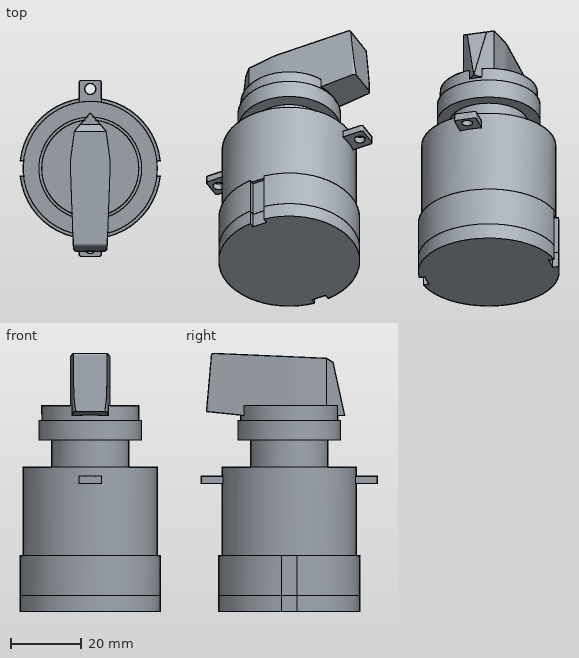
import cadquery as cq

base_top = 4.6
collar_top = 15.9
housing_top = 41.0
neck_top = 48.7
bezel_top = 54.25
disc_top = 58.4
knob_top = 73.3

base_radius = 20.0
housing_radius = 19.05
neck_radius = 11.0
bezel_radius = 14.6
disc_radius = 13.8

notch_width = 4.3
notch_floor_x = 18.25

tab_width = 6.4
tab_reach = 25.0
tab_bottom = 36.3
tab_thickness = 2.1
tab_corner_radius = 0.65
tab_hole_y = 22.6
tab_hole_diameter = 3.1

pointer_tip_y = 15.75
pointer_shoulder_y = 10.55
pointer_half_width = 4.51
grip_half_width = 5.65
bulge_back_y = 2.65
bulge_front_y = -1.55
bulge_side_half_width = 5.6
handle_front_y = -23.5
handle_front_half_width = 4.8
handle_corner_radius = 0.95

handle_bottom = 55.6
pointer_slope_top_y = 12.45
pointer_slope_top = 70.7
shoulder_top = 71.9
crest_back_y = -19.65
crest_back_top = 73.2
crest_front_y = -22.05
underside_back_y = -12.8
front_lip_bottom = 56.7
crest_radius = 0.7


def cylinder(radius, bottom, top):
    return cq.Workplane("XY").workplane(offset=bottom).circle(radius).extrude(top - bottom)


def notched_disc(bottom, top):
    """Disc with a flat-bottomed notch at each X side, reaching under the housing."""
    disc = cylinder(base_radius, bottom, top)
    notch_depth = base_radius - notch_floor_x
    notches = (
        cq.Workplane("XY")
        .workplane(offset=bottom)
        .pushPoints([(side * (notch_floor_x + notch_depth / 2), 0) for side in (-1, 1)])
        .rect(notch_depth, notch_width)
        .extrude(top - bottom)
    )
    return disc.cut(notches)


def make_tab(side):
    """Drilled tab on the +Y (side = 1) or -Y (side = -1) side, rooted inside the housing."""
    root_y = housing_radius / 2
    outer_face = ">Y" if side > 0 else "<Y"
    tab = (
        cq.Workplane("XY")
        .workplane(offset=tab_bottom)
        .center(0, side * (root_y + tab_reach) / 2)
        .rect(tab_width, tab_reach - root_y)
        .extrude(tab_thickness)
        .faces(outer_face)
        .edges("|Z")
        .fillet(tab_corner_radius)
    )
    hole = (
        cq.Workplane("XY")
        .workplane(offset=tab_bottom)
        .center(0, side * tab_hole_y)
        .circle(tab_hole_diameter / 2)
        .extrude(tab_thickness)
    )
    return tab.cut(hole)


def make_housing():
    housing = cylinder(housing_radius, collar_top, housing_top)
    for side in (-1, 1):
        housing = housing.union(make_tab(side))
    return housing


def handle_plan():
    """Upright prism: pointed back, gently bulged sides and rounded front corners."""
    bulge_middle_y = (bulge_back_y + bulge_front_y) / 2
    return (
        cq.Workplane("XY")
        .workplane(offset=handle_bottom)
        .moveTo(0, pointer_tip_y)
        .lineTo(pointer_half_width, pointer_shoulder_y)
        .lineTo(bulge_side_half_width, bulge_back_y)
        .threePointArc((grip_half_width, bulge_middle_y), (bulge_side_half_width, bulge_front_y))
        .lineTo(handle_front_half_width, handle_front_y)
        .lineTo(0, handle_front_y)
        .mirrorY()
        .extrude(knob_top - handle_bottom)
        .faces("<Y")
        .edges("|Z")
        .fillet(handle_corner_radius)
    )


def handle_side():
    """Side outline of the handle, swept across its full width."""
    outline = [
        (pointer_tip_y, handle_bottom),
        (pointer_slope_top_y, pointer_slope_top),
        (pointer_shoulder_y, shoulder_top),
        (crest_back_y, crest_back_top),
        (crest_front_y, knob_top),
        (handle_front_y, front_lip_bottom),
        (underside_back_y, handle_bottom),
    ]
    crest_corner = cq.selectors.NearestToPointSelector((0, crest_front_y, knob_top))
    return (
        cq.Workplane("YZ")
        .polyline(outline)
        .close()
        .extrude(grip_half_width, both=True)
        .edges(crest_corner)
        .fillet(crest_radius)
    )


def make_knob():
    disc = cylinder(disc_radius, bezel_top, disc_top)
    return disc.union(handle_plan().intersect(handle_side()))


base = notched_disc(0, base_top)
collar = notched_disc(base_top, collar_top)
housing = make_housing()
neck = cylinder(neck_radius, housing_top, neck_top)
bezel = cylinder(bezel_radius, neck_top, bezel_top)
knob = make_knob()

result = cq.Compound.makeCompound(
    [base.val(), collar.val(), housing.val(), neck.val(), bezel.val(), knob.val()]
)